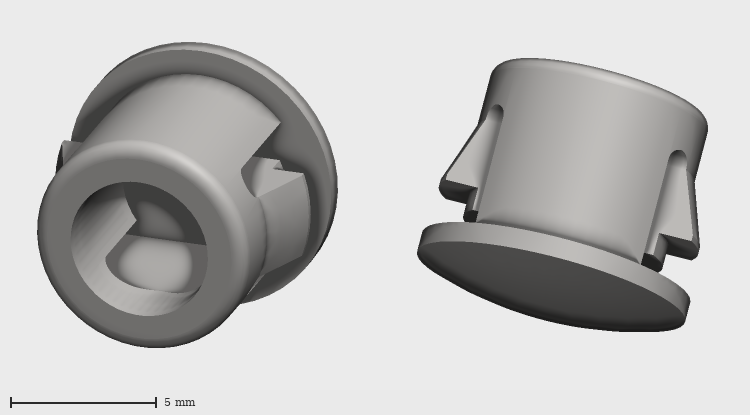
import cadquery as cq

head_radius = 4.75
head_thickness = 0.7
dome_height = 0.89
tube_length = 6.4
tube_radius = 3.85
bore_radius = 2.49
end_fillet = 0.5

clip_width = 3.0
slot_width = 1.0
slot_end_to_tube_end = 1.805
clip_gap = 0.91
step_length = 0.8
lip_radius = 3.53
barb_radius = 4.6
barb_land = 0.2

slot_radius = slot_width / 2
window_half_width = clip_width / 2 + slot_width
slot_straight_end = -(tube_length - slot_end_to_tube_end - slot_radius)
barb_top = -(clip_gap + step_length)


def revolve_about_y(profile):
    """Revolve a profile of (Y, radius) points about the Y axis."""
    return profile.close().revolve(360, (0, 0, 0), (1, 0, 0))


def make_cylinder(radius, length):
    """Cylinder from the underside of the head toward -Y."""
    return revolve_about_y(
        cq.Workplane("YZ")
        .lineTo(0, radius)
        .lineTo(-length, radius)
        .lineTo(-length, 0)
    )


def make_head():
    dome_radius = (head_radius**2 + dome_height**2) / (2 * dome_height)
    return revolve_about_y(
        cq.Workplane("YZ")
        .lineTo(0, head_radius)
        .lineTo(head_thickness, head_radius)
        .radiusArc((head_thickness + dome_height, 0), dome_radius)
    )


def make_tube_body():
    return make_cylinder(tube_radius, tube_length).faces("<Y").edges().fillet(end_fillet)


def make_window():
    """Opening across both sides of the tube, with a round-ended slot beside each clip edge."""
    length = -slot_straight_end
    window = cq.Workplane("XY").box(
        2 * head_radius, length, 2 * window_half_width
    ).translate((0, -length / 2, 0))
    slot_offset = (clip_width + slot_width) / 2
    for side in (-1, 1):
        slot_end = (
            cq.Workplane("YZ")
            .center(slot_straight_end, side * slot_offset)
            .circle(slot_radius)
            .extrude(head_radius, both=True)
        )
        window = window.union(slot_end)
    return window


def make_clip_band():
    """Barbed disc trimmed to a band; the bore later splits it into one clip per side."""
    disc = revolve_about_y(
        cq.Workplane("YZ")
        .moveTo(-clip_gap, 0)
        .lineTo(-clip_gap, lip_radius)
        .lineTo(barb_top, lip_radius)
        .lineTo(barb_top, barb_radius)
        .lineTo(barb_top - barb_land, barb_radius)
        .lineTo(slot_straight_end, tube_radius)
        .lineTo(slot_straight_end, 0)
    )
    band = cq.Workplane("XY").box(2 * head_radius, 2 * tube_length, clip_width)
    return disc.intersect(band)


sleeve = make_tube_body().cut(make_window()).union(make_clip_band())
sleeve = sleeve.cut(make_cylinder(bore_radius, tube_length))
result = sleeve.union(make_head())